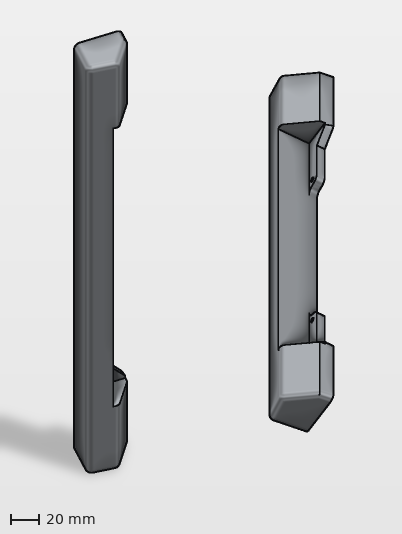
import cadquery as cq
import math

length = 370
width = 35.0
depth = 38.0

lean = 5.0
crest_width = 10.7
slope_angle = 30
edge_round = 4.8

recess_half_height = 126.0
floor_level = 15.5

tab_thickness = 6.5
tab_level = 26.3
tab_root_half_height = 112.5
root_round_level = 36.5
root_round_half_height = 123.2
tab_round = 6.3
floor_fillet = 6.5
hole_diameter = 3.7
hole_half_height = 80.3
hole_level = tab_level - tab_round

face_length = math.hypot(lean, depth)
mounting_plane = cq.Plane(
    origin=(lean, 0, 0),
    xDir=(-lean / face_length, depth / face_length, 0),
    normal=(-depth / face_length, -lean / face_length, 0),
)


def make_bar():
    """Full-length bar with the ends and the +X side rounded, sharp around the mounting face."""
    slope_drop = (width - crest_width) * math.tan(math.radians(slope_angle))
    section = [
        (lean, 0),
        (width, 0),
        (width, depth - slope_drop),
        (crest_width, depth),
        (0, depth),
    ]
    bar = cq.Workplane("XY").polyline(section).close().extrude(length / 2, both=True)
    mounting_edges = bar.faces("<X").edges().vals()
    end_edges = [
        edge
        for edge in bar.faces("|Z").edges().vals()
        if not any(edge.isSame(other) for other in mounting_edges)
    ]
    side_edges = bar.faces(">X").edges("|Z").vals()
    return bar.newObject(end_edges + side_edges).fillet(edge_round)


def make_recess():
    """Space cut right through the bar, from the recess floor past the crest."""
    rise = 2 * (depth - floor_level)
    return (
        cq.Workplane(mounting_plane)
        .center(floor_level + rise / 2, 0)
        .rect(rise, 2 * recess_half_height)
        .extrude(-2 * width)
    )


def make_tab():
    """Upper screw tab: rounded slope down from the crest, straight side, end rounded about the hole."""
    fillet_level = floor_level + floor_fillet
    fillet_half_height = hole_half_height - math.sqrt(
        (tab_round + floor_fillet) ** 2 - (fillet_level - hole_level) ** 2
    )
    touch_angle = math.atan2(hole_half_height - fillet_half_height, hole_level - fillet_level)

    def on_fillet(angle):
        return (
            fillet_level + floor_fillet * math.cos(angle),
            fillet_half_height + floor_fillet * math.sin(angle),
        )

    plate = (
        cq.Workplane(mounting_plane)
        .moveTo(floor_level, recess_half_height)
        .lineTo(*on_fillet(math.pi))
        .threePointArc(on_fillet((math.pi + touch_angle) / 2), on_fillet(touch_angle))
        .tangentArcPoint((tab_level, hole_half_height), relative=False)
        .lineTo(tab_level, tab_root_half_height)
        .lineTo(root_round_level, root_round_half_height)
        .tangentArcPoint((face_length, recess_half_height), relative=False)
        .close()
        .extrude(-tab_thickness)
    )
    hole = (
        cq.Workplane(mounting_plane)
        .center(hole_level, hole_half_height)
        .circle(hole_diameter / 2)
        .extrude(-tab_thickness)
    )
    return plate.cut(hole)


bar = make_bar()
upper_tab = make_tab().intersect(bar)
lower_tab = upper_tab.mirror("XY")
result = bar.cut(make_recess()).union(upper_tab).union(lower_tab)